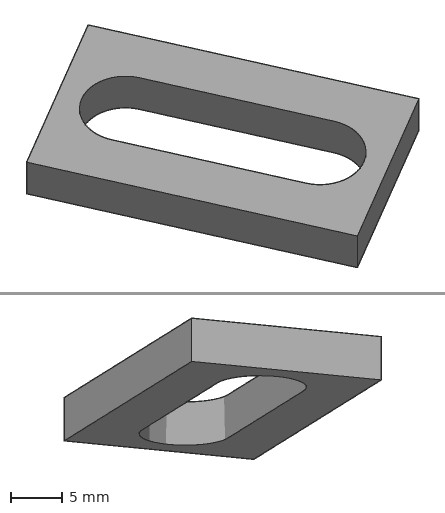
import cadquery as cq

plate_length = 34.0
plate_width = 20.0
plate_thickness = 4.4

slot_length = 29.0
slot_width = 9.0

plate = cq.Workplane("XY").box(plate_length, plate_width, plate_thickness)

result = plate.faces(">Z").workplane().slot2D(slot_length, slot_width).cutThruAll()